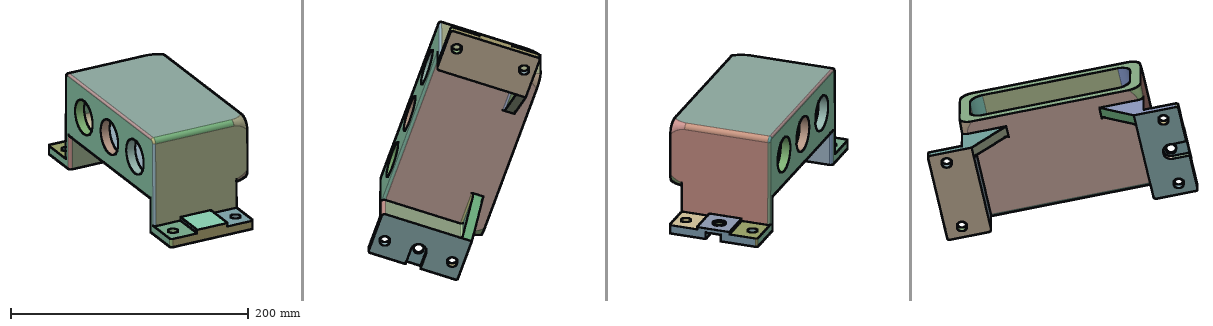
import cadquery as cq
LENGTH = 216.0
DEPTH = 90.0
HEIGHT = 88.0
WALL = 8.6
EDGE_RADIUS = 2.0
OPENING_EDGE_RADIUS = 2.5

HALF_WIDTH_BOTTOM = 78.6
HALF_WIDTH_TOP = 77.8
FLOOR_BOTTOM = 29.8
CORNER_RADIUS = 4.3
REAR_CORNER_RADIUS = 10.8
FLARE_DEPTH = 13.0
POCKET_RADIUS = 10.8

WINDOW_RADIUS = 15.3
WINDOW_PITCH = 45.0
WINDOW_HEIGHT = 59.0

FOOT_DEPTH = 79.5
FOOT_HEIGHT = 7.8
LEG_TOP = FLOOR_BOTTOM + WALL
LEG_INNER = HALF_WIDTH_BOTTOM - WALL
FOOT_INNER = LEG_INNER + WALL / 2
GUSSET_FILLET = 1.7

PAD_WIDTH = 29.2
LEFT_PAD_RISE = 2.2
RIGHT_PAD_RISE = 3.2

FOOT_CENTER_Y = 40.0
HOLE_X = 93.5
HOLE_RADIUS = 4.3
HOLE_PITCH = 30.0
MIDDLE_HOLE_RADIUS = 4.3
COUNTERSINK_RADIUS = 5.6
NUT_SLOT_WIDTH = 13.4
NUT_SLOT_HEIGHT = 6.0

OVERLAP = 2.2
TOLERANCE = 0.1


def side_x(z):
    """Half width of the leaning side wall at height z."""
    return HALF_WIDTH_BOTTOM + (HALF_WIDTH_TOP - HALF_WIDTH_BOTTOM) * z / HEIGHT


def front_plane(y):
    """Plane facing the front at depth y, with X to the right and Z up."""
    return cq.Workplane("XZ", origin=(0, y, 0))


def near(value, target):
    return abs(value - target) < TOLERANCE


def round_edges(shape, radius, test):
    """Fillet every edge whose centre passes the test."""
    edges = [edge for edge in shape.edges().vals() if test(edge.Center())]
    return shape.newObject(edges).fillet(radius)


def box_outline(y, radius):
    """Wire of the box section at depth y, with its four corners rounded."""
    low, high = side_x(FLOOR_BOTTOM), side_x(HEIGHT)
    corners = [(-low, FLOOR_BOTTOM), (low, FLOOR_BOTTOM), (high, HEIGHT), (-high, HEIGHT)]
    points = [cq.Vector(x, y, z) for x, z in corners]
    wire = cq.Wire.makePolygon(points, close=True)
    return wire.fillet2D(radius, wire.Vertices())


def make_box():
    """Box whose corner radius grows smoothly over the last stretch to the rear."""
    flare_start = DEPTH - FLARE_DEPTH
    straight = cq.Solid.extrudeLinear(
        box_outline(0, CORNER_RADIUS), [], cq.Vector(0, flare_start, 0)
    )
    sections = []
    for part in (0, 0.5, 1):
        radius = CORNER_RADIUS + (REAR_CORNER_RADIUS - CORNER_RADIUS) * part**2
        sections.append(box_outline(flare_start + part * FLARE_DEPTH, radius))
    flare = cq.Solid.makeLoft(sections)
    return cq.Workplane(straight).union(cq.Workplane(flare))


def make_leg(side):
    """Upright wall below the box on one side (-1 left, +1 right)."""
    outline = [
        (LEG_INNER, 0),
        (side_x(0), 0),
        (side_x(LEG_TOP), LEG_TOP),
        (LEG_INNER, LEG_TOP),
    ]
    points = [(side * x, z) for x, z in outline]
    return front_plane(0).polyline(points).close().extrude(-FOOT_DEPTH)


def make_foot(side, pad_rise):
    """Foot with a raised middle pad and rounded outer corners."""
    pad_front = FOOT_CENTER_Y - PAD_WIDTH / 2
    pad_rear = FOOT_CENTER_Y + PAD_WIDTH / 2
    pad_top = FOOT_HEIGHT + pad_rise
    profile = [
        (0, 0),
        (FOOT_DEPTH, 0),
        (FOOT_DEPTH, FOOT_HEIGHT),
        (pad_rear, FOOT_HEIGHT),
        (pad_rear, pad_top),
        (pad_front, pad_top),
        (pad_front, FOOT_HEIGHT),
        (0, FOOT_HEIGHT),
    ]
    start = cq.Workplane("YZ", origin=(FOOT_INNER, 0, 0))
    foot = start.polyline(profile).close().extrude(LENGTH / 2 - FOOT_INNER)
    foot = round_edges(foot, EDGE_RADIUS, is_foot_corner)
    return foot if side > 0 else foot.mirror("YZ")


def make_gusset(side):
    """Triangular plate between leg and box floor, flush with the rear of the leg."""
    size = FLOOR_BOTTOM
    outline = [
        (LEG_INNER + OVERLAP, 0),
        (LEG_INNER, 0),
        (LEG_INNER - size, size),
        (LEG_INNER - size, size + OVERLAP),
        (LEG_INNER + OVERLAP, size + OVERLAP),
    ]
    points = [(side * x, z) for x, z in outline]
    return front_plane(FOOT_DEPTH - WALL).polyline(points).close().extrude(-WALL)


def is_foot_corner(c):
    """Upright outer corner of a foot at its front or rear."""
    at_front_or_rear = near(c.y, 0) or near(c.y, FOOT_DEPTH)
    return at_front_or_rear and near(c.x, LENGTH / 2) and near(c.z, FOOT_HEIGHT / 2)


def is_outer_edge(c):
    """Front outline of the box and legs."""
    outside_opening = abs(c.x) > LEG_INNER + OVERLAP or c.z > LEG_TOP
    return near(c.y, 0) and c.z > OVERLAP and outside_opening


def is_opening_edge(c):
    """Front edge of the opening between the legs."""
    inside_opening = abs(c.x) < LEG_INNER + OVERLAP and c.z < LEG_TOP
    return near(c.y, 0) and c.z > OVERLAP and inside_opening


def is_gusset_corner(c):
    """Inside edges where a gusset front meets the leg and the floor."""
    on_leg = near(abs(c.x), LEG_INNER)
    on_floor = near(c.z, FLOOR_BOTTOM) and abs(c.x) > LEG_INNER - FLOOR_BOTTOM
    return near(c.y, FOOT_DEPTH - WALL) and (on_leg or on_floor)


def make_pocket():
    """Cavity of the box, open to the rear."""
    height = HEIGHT - FLOOR_BOTTOM - 2 * WALL
    pocket = front_plane(WALL).center(0, FLOOR_BOTTOM + WALL + height / 2)
    pocket = pocket.rect(2 * (HALF_WIDTH_TOP - WALL), height).extrude(-DEPTH)
    return pocket.edges("|Y").fillet(POCKET_RADIUS)


def make_windows():
    """Row of round windows through the front wall."""
    centers = [(i * WINDOW_PITCH, WINDOW_HEIGHT) for i in (-1, 0, 1)]
    windows = front_plane(-OVERLAP).pushPoints(centers).circle(WINDOW_RADIUS)
    return windows.extrude(-WALL - 2 * OVERLAP)


def make_foot_holes():
    """Two plain holes through each foot."""
    centers = [(sx * HOLE_X, FOOT_CENTER_Y + sy * HOLE_PITCH) for sx in (-1, 1) for sy in (-1, 1)]
    return cq.Workplane("XY").pushPoints(centers).circle(HOLE_RADIUS).extrude(FOOT_HEIGHT + OVERLAP)


def make_nut_recess():
    """Countersunk hole in the left foot, with a nut slot below that is open to the outer end."""
    center = cq.Workplane("XY").center(-HOLE_X, FOOT_CENTER_Y)
    top = FOOT_HEIGHT + LEFT_PAD_RISE
    sink_depth = COUNTERSINK_RADIUS - MIDDLE_HOLE_RADIUS
    hole = center.circle(MIDDLE_HOLE_RADIUS).extrude(top)
    sink = center.workplane(offset=top).circle(COUNTERSINK_RADIUS)
    sink = sink.workplane(offset=-sink_depth).circle(MIDDLE_HOLE_RADIUS).loft()
    slot_end = center.circle(NUT_SLOT_WIDTH / 2).extrude(NUT_SLOT_HEIGHT)
    slot_length = LENGTH / 2 - HOLE_X + OVERLAP
    slot = center.center(-slot_length / 2, 0).rect(slot_length, NUT_SLOT_WIDTH).extrude(NUT_SLOT_HEIGHT)
    return hole.union(sink).union(slot_end).union(slot)


result = make_box()
for side in (-1, 1):
    result = result.union(make_leg(side))
result = round_edges(result, EDGE_RADIUS, is_outer_edge)
result = round_edges(result, OPENING_EDGE_RADIUS, is_opening_edge)

for side in (-1, 1):
    result = result.union(make_gusset(side))
result = round_edges(result, GUSSET_FILLET, is_gusset_corner)

for side, pad_rise in ((-1, LEFT_PAD_RISE), (1, RIGHT_PAD_RISE)):
    result = result.union(make_foot(side, pad_rise))

result = result.cut(make_pocket())
result = result.cut(make_windows())
result = result.cut(make_foot_holes())
result = result.cut(make_nut_recess())